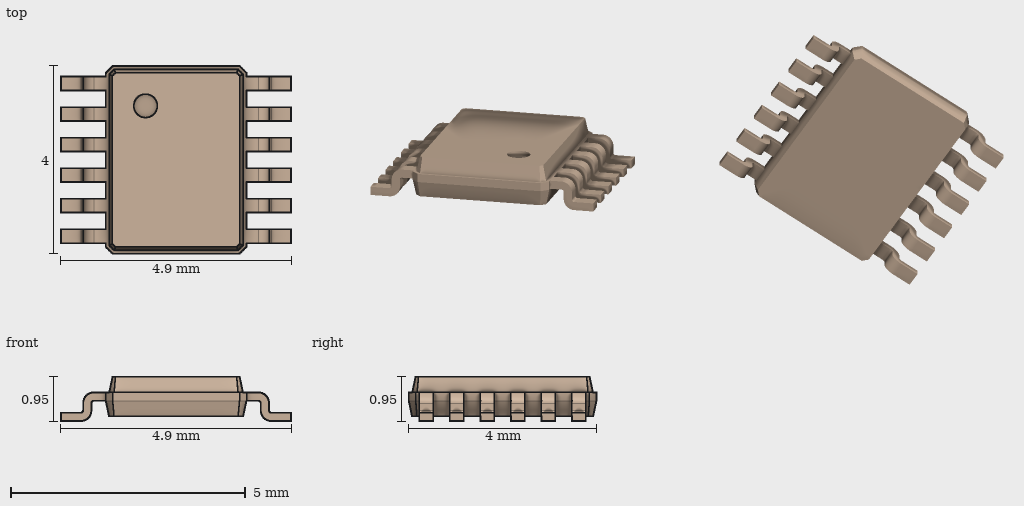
import cadquery as cq
import math

body_length_x = 3.0
body_length_y = 4.0
body_bottom_z = 0.10
body_top_z = 0.95
corner_chamfer = 0.15
upper_step = 0.075
side_taper = 12.0

mark_diameter = 0.5
mark_depth = 0.10
mark_x = -0.65
mark_y = 1.15

lead_span = 4.9
lead_thickness = 0.18
lead_width = 0.30
lead_pitch = 0.65
leads_per_side = 6
foot_length = 0.47
inner_bend_radius = 0.05
lead_embed = 0.20

band_middle_z = (body_bottom_z + body_top_z) / 2
band_bottom_z = band_middle_z - lead_thickness / 2
band_top_z = band_middle_z + lead_thickness / 2
outer_bend_radius = inner_bend_radius + lead_thickness


def body_outline(z, inset=0.0):
    """Chamfered rectangle at height z, with every side moved in by inset."""
    leg = corner_chamfer - inset * (2 - math.sqrt(2))
    half_x = body_length_x / 2 - inset
    half_y = body_length_y / 2 - inset
    return (
        cq.Workplane("XY", origin=(0, 0, z))
        .moveTo(half_x, half_y - leg)
        .lineTo(half_x - leg, half_y)
        .lineTo(leg - half_x, half_y)
        .lineTo(-half_x, half_y - leg)
        .lineTo(-half_x, leg - half_y)
        .lineTo(leg - half_x, -half_y)
        .lineTo(half_x - leg, -half_y)
        .lineTo(half_x, leg - half_y)
        .close()
    )


def make_body():
    band = body_outline(band_bottom_z).extrude(lead_thickness)
    upper = body_outline(band_top_z, upper_step).extrude(body_top_z - band_top_z, taper=side_taper)
    lower = body_outline(band_bottom_z).extrude(body_bottom_z - band_bottom_z, taper=side_taper)
    return band.union(upper).union(lower)


def cut_pin_mark(body):
    mark = (
        cq.Workplane("XY", origin=(mark_x, mark_y, body_top_z - mark_depth))
        .circle(mark_diameter / 2)
        .extrude(mark_depth)
    )
    return body.cut(mark)


def make_lead(y):
    """Lead on the -X side, centred at y."""
    tip_x = -lead_span / 2
    upright_outer_x = tip_x + foot_length
    upright_inner_x = upright_outer_x + lead_thickness
    root_x = -body_length_x / 2 + lead_embed
    lower_centre_x = upright_outer_x - inner_bend_radius
    lower_centre_z = outer_bend_radius
    upper_centre_x = upright_inner_x + inner_bend_radius
    upper_centre_z = band_top_z - outer_bend_radius
    return (
        cq.Workplane("XZ", origin=(0, y + lead_width / 2, 0))
        .moveTo(tip_x, 0)
        .lineTo(lower_centre_x, 0)
        .radiusArc((upright_inner_x, lower_centre_z), -outer_bend_radius)
        .lineTo(upright_inner_x, upper_centre_z)
        .radiusArc((upper_centre_x, band_bottom_z), inner_bend_radius)
        .lineTo(root_x, band_bottom_z)
        .lineTo(root_x, band_top_z)
        .lineTo(upper_centre_x, band_top_z)
        .radiusArc((upright_outer_x, upper_centre_z), -outer_bend_radius)
        .lineTo(upright_outer_x, lower_centre_z)
        .radiusArc((lower_centre_x, lead_thickness), inner_bend_radius)
        .lineTo(tip_x, lead_thickness)
        .close()
        .extrude(lead_width)
    )


result = cut_pin_mark(make_body())
for index in range(leads_per_side):
    lead_y = (index - (leads_per_side - 1) / 2) * lead_pitch
    lead = make_lead(lead_y)
    result = result.union(lead).union(lead.mirror("YZ"))